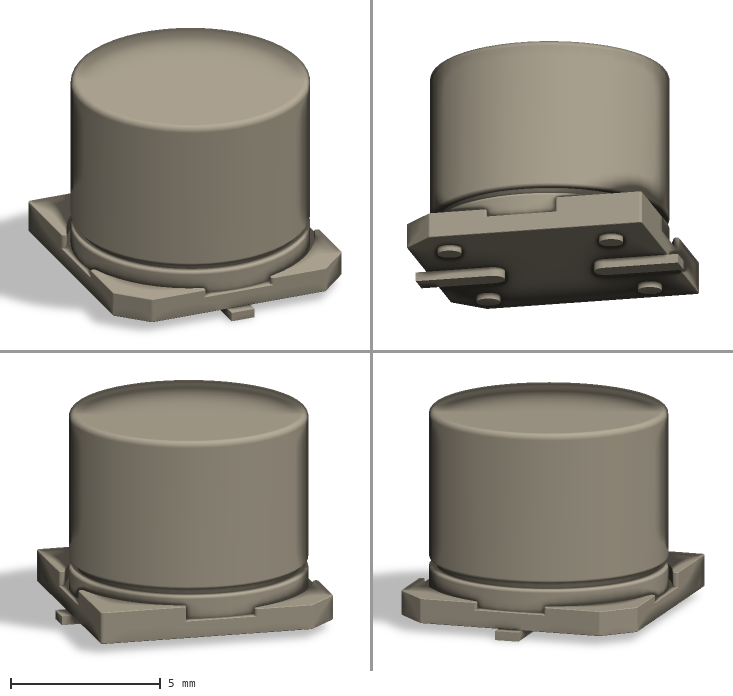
import cadquery as cq

total_height = 7.0
lead_span = 9.0

lead_width = 0.83
lead_thickness = 0.31
lead_inner_end = 1.54
lead_end_radius = lead_width / 2
foot_diameter = 0.8
foot_height = 0.2
foot_offset = 2.77

base_side = 8.3
base_bottom = lead_thickness
seat_floor = 0.9
seat_radius = 4.15
high_corner_top = 1.395
low_corner_top = 1.15
corner_cut = 1.0
notch_width = 2.38
base_round = 0.1
tip_round = 0.08
tip_box = 0.135
edge_chamfer = 0.02

can_radius = 8.0 / 2
groove_radius = 7.5 / 2
groove_bottom = 1.67
groove_top = 1.9
groove_lip_round = 0.1
can_top_round = 0.2


def base_outline(height):
    """Rounded square prism with the two +X corners cut off at 45 degrees."""
    half = base_side / 2
    cut = half - corner_cut
    return (
        cq.Workplane("XY", origin=(0, 0, base_bottom))
        .polyline([(-half, -half), (cut, -half), (half, -cut), (half, cut), (cut, half), (-half, half)])
        .close()
        .extrude(height - base_bottom)
        .edges("|Z")
        .fillet(base_round)
    )


def corner_post(x_side, y_side, top):
    """One raised corner, hollowed by the seat, with a rounded tip at each notch."""
    block_side = (base_side - notch_width) / 2
    centre = notch_width / 2 + block_side / 2
    block = (
        cq.Workplane("XY", origin=(x_side * centre, y_side * centre, seat_floor))
        .rect(block_side, block_side)
        .extrude(top - seat_floor)
    )
    seat = cq.Workplane("XY", origin=(0, 0, seat_floor)).circle(seat_radius).extrude(top - seat_floor)
    post = block.intersect(base_outline(top)).cut(seat)
    wall = (notch_width / 2 - tip_box, notch_width / 2 + tip_box)
    rim = (seat_radius - 2 * tip_box, base_side / 2 + tip_box)
    beside_y_side = cq.selectors.BoxSelector(
        (x_side * wall[0], y_side * rim[0], seat_floor),
        (x_side * wall[1], y_side * rim[1], top),
    )
    beside_x_side = cq.selectors.BoxSelector(
        (x_side * rim[0], y_side * wall[0], seat_floor),
        (x_side * rim[1], y_side * wall[1], top),
    )
    post = post.edges("|Z").edges(beside_x_side + beside_y_side).fillet(tip_round)
    return post.faces(">Z").edges().chamfer(edge_chamfer)


def make_base():
    half = base_side / 2
    base = base_outline(seat_floor).faces("<Z").edges().chamfer(edge_chamfer)
    for x_side, top in ((-1, high_corner_top), (1, low_corner_top)):
        for y_side in (-1, 1):
            base = base.union(corner_post(x_side, y_side, top))
    for midpoint in ((half, 0), (-half, 0), (0, half), (0, -half)):
        rim = cq.selectors.NearestToPointSelector((*midpoint, seat_floor))
        base = base.edges(rim).chamfer(edge_chamfer)
    return base


def make_can():
    """Solid can with a rounded top and a groove with rounded lips near the bottom."""
    flange = (
        cq.Workplane("XY", origin=(0, 0, seat_floor))
        .circle(can_radius)
        .extrude(groove_bottom - seat_floor)
        .faces(">Z").edges().fillet(groove_lip_round)
    )
    neck = (
        cq.Workplane("XY", origin=(0, 0, seat_floor))
        .circle(groove_radius)
        .extrude(groove_top - seat_floor)
    )
    body = (
        cq.Workplane("XY", origin=(0, 0, groove_top))
        .circle(can_radius)
        .extrude(total_height - groove_top)
        .faces("<Z").edges().fillet(groove_lip_round)
        .faces(">Z").edges().fillet(can_top_round)
    )
    return flange.union(neck).union(body)


def make_lead(side):
    """Flat lead strip whose inner end is a full round."""
    round_centre = lead_inner_end + lead_end_radius
    length = lead_span / 2 - round_centre
    strip = cq.Workplane("XY").center(side * (round_centre + length / 2), 0).rect(length, lead_width)
    end = cq.Workplane("XY").center(side * round_centre, 0).circle(lead_end_radius)
    return strip.extrude(lead_thickness).union(end.extrude(lead_thickness))


def make_feet():
    return (
        cq.Workplane("XY", origin=(0, 0, base_bottom - foot_height))
        .rect(2 * foot_offset, 2 * foot_offset, forConstruction=True)
        .vertices()
        .circle(foot_diameter / 2)
        .extrude(foot_height)
    )


result = make_base().union(make_can()).union(make_feet())
for lead_side in (-1, 1):
    result = result.union(make_lead(lead_side))